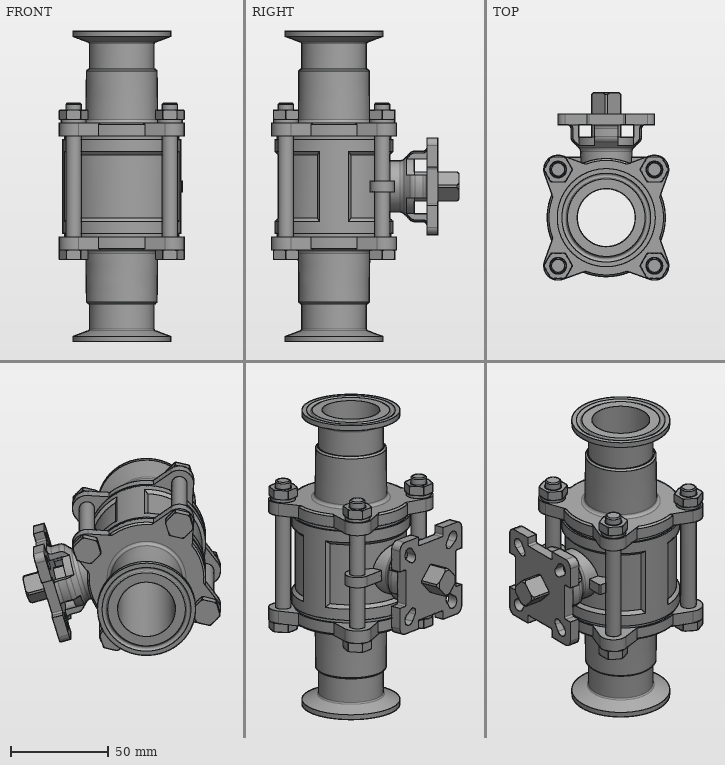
import cadquery as cq
import math


half_length = 80.0
bore_d = 29.8

ferrule_d = 50.5
ferrule_rim = 2.7
ferrule_cone = 3.2
ferrule_fillet = 0.8
tube_d = 33.5
groove_mid_r = 21.8
groove_arc_run = 1.1
groove_depth = 1.1
groove_lip_r = 20.0
groove_lip_drop = 0.8
spigot_end_z = 60.5
spigot_end_r = 18.2
spigot_base_r = 18.5
spigot_chamfer = 1.0
spigot_fillet = 1.8

body_r = 61.0 / 2
body_half = 24.2
seat_r = 29.5
flange_inner_z = 26.0
flange_outer_z = 32.8
flange_chamfer = 1.0
pocket_half = 18.0
pocket_depth = 1.8
rib_half = 7.4
rib_flare = 1.3

bolt_spacing = 49.6
bolt_offset = bolt_spacing / 2
ear_d = 14.9
ear_r = ear_d / 2
ear_draft = 20.0
ear_run = 19.2
bolt_d = 8.0
bolt_top_z = 42.9
bolt_tip_chamfer = 0.6
washer_d = 13.0
washer_t = 1.6
nut_flats = 13.0
nut_h = 5.0
nut_chamfer = 0.4
nut_recess_d = 8.6
nut_recess_depth = 0.5

overall_y = 96.6
stem_end_y = overall_y - bolt_offset - ear_r
stem_square = 11.5
stem_d = 15.0
stem_chamfer = 1.3
bonnet_r = 13.3
bonnet_start_y = 24.0
bonnet_top_y = 35.2
bonnet_fillet = 2.9
disc_top_y = 41.5
disc_r = 30.5 / 2
bracket_r = 18.2
bracket_bend = 3.7
arm_width = 12.0
arm_fillet = 2.0
plate_side = 50.0
plate_t = 5.6
plate_inner_y = 47.8
plate_corner_r = 3.8
notch_half = 10.0
notch_depth = 4.8
notch_fillet = 1.0
slot_outer_r = 25.0
slot_outer_d = 6.5
slot_inner_r = 21.0
slot_inner_d = 5.0

lug_x_min = -21.6
lug_end_r = 6.4
lug_width = 10.0
lug_chamfer = 0.8
lug_height = 5.6


def disc(radius, z_low, z_high, x=0.0, y=0.0):
    """Solid cylinder along Z."""
    return cq.Workplane("XY", origin=(x, y, z_low)).circle(radius).extrude(z_high - z_low)


def make_end():
    """Spigot, tube and ferrule of the +Z end, with the gasket groove in its face."""
    ferrule_r = ferrule_d / 2
    tube_r = tube_d / 2
    rim_z = half_length - ferrule_rim
    cone_foot_z = rim_z - ferrule_cone
    cone_angle = math.atan2(ferrule_cone, ferrule_r - tube_r)
    fillet_run = ferrule_fillet * math.tan(math.pi / 4 - cone_angle / 2)
    fillet_end = (
        tube_r + fillet_run * math.cos(cone_angle),
        cone_foot_z + fillet_run * math.sin(cone_angle),
    )
    profile = (
        cq.Workplane("XZ")
        .moveTo(0, flange_inner_z)
        .lineTo(spigot_base_r + spigot_fillet, flange_inner_z)
        .lineTo(spigot_base_r + spigot_fillet, flange_outer_z)
        .radiusArc((spigot_base_r, flange_outer_z + spigot_fillet), spigot_fillet)
        .lineTo(spigot_end_r, spigot_end_z - spigot_chamfer)
        .lineTo(spigot_end_r - spigot_chamfer, spigot_end_z)
        .lineTo(tube_r, spigot_end_z)
        .lineTo(tube_r, cone_foot_z - fillet_run)
        .radiusArc(fillet_end, ferrule_fillet)
        .lineTo(ferrule_r, rim_z)
        .lineTo(ferrule_r, half_length)
        .lineTo(groove_mid_r + groove_arc_run, half_length)
        .threePointArc(
            (groove_mid_r, half_length - groove_depth),
            (groove_mid_r - groove_arc_run, half_length - groove_lip_drop),
        )
        .lineTo(groove_lip_r, half_length)
        .lineTo(0, half_length)
        .close()
    )
    return profile.revolve(360, (0, 0, 0), (0, 1, 0))


def make_ear(angle):
    """Bolt ear of the +Z flange, blended into the round plate by two tangent sides."""
    draft = math.radians(ear_draft)
    tangent_x = bolt_offset - ear_r * math.sin(draft)
    tangent_y = bolt_offset + ear_r * math.cos(draft)
    root_x = tangent_x - ear_run * math.cos(draft)
    root_y = tangent_y - ear_run * math.sin(draft)
    thickness = flange_outer_z - flange_inner_z
    web = (
        cq.Workplane("XY", origin=(0, 0, flange_inner_z))
        .moveTo(tangent_x, tangent_y)
        .lineTo(root_x, root_y)
        .lineTo(root_y, root_x)
        .lineTo(tangent_y, tangent_x)
        .lineTo(bolt_offset, bolt_offset)
        .close()
        .extrude(thickness)
    )
    lobe = disc(ear_r, flange_inner_z, flange_outer_z, bolt_offset, bolt_offset)
    return web.union(lobe).rotate((0, 0, 0), (0, 0, 1), angle)


def make_flange():
    """Flange of the +Z end: chamfered round plate with four ears."""
    flange = disc(body_r, flange_inner_z, flange_outer_z).faces(">Z").edges().chamfer(flange_chamfer)
    for angle in (0, 90, 180, 270):
        flange = flange.union(make_ear(angle))
    return flange


def make_body():
    """Central body with a shallow pocket all round, interrupted by a rib on each X side."""
    floor_r = body_r - pocket_depth
    floor_half = pocket_half - pocket_depth
    pocket = (
        cq.Workplane("XZ")
        .moveTo(floor_r, -floor_half)
        .lineTo(body_r, -pocket_half)
        .lineTo(body_r + pocket_depth, -pocket_half)
        .lineTo(body_r + pocket_depth, pocket_half)
        .lineTo(body_r, pocket_half)
        .lineTo(floor_r, floor_half)
        .close()
        .revolve(360, (0, 0, 0), (0, 1, 0))
    )
    rib_top_x = math.sqrt(body_r**2 - rib_half**2)
    rib_foot_half = rib_half + rib_flare
    rib_foot_x = math.sqrt(floor_r**2 - rib_foot_half**2)
    ribs = (
        cq.Workplane("XY", origin=(0, 0, -body_half))
        .moveTo(rib_foot_x, rib_foot_half)
        .lineTo(rib_top_x, rib_half)
        .lineTo(body_r + 2 * pocket_depth, rib_half)
        .lineTo(body_r + 2 * pocket_depth, -rib_half)
        .lineTo(rib_top_x, -rib_half)
        .lineTo(rib_foot_x, -rib_foot_half)
        .lineTo(-rib_foot_x, -rib_foot_half)
        .lineTo(-rib_top_x, -rib_half)
        .lineTo(-body_r - 2 * pocket_depth, -rib_half)
        .lineTo(-body_r - 2 * pocket_depth, rib_half)
        .lineTo(-rib_top_x, rib_half)
        .lineTo(-rib_foot_x, rib_foot_half)
        .close()
        .extrude(2 * body_half)
    )
    body = disc(body_r, -body_half, body_half).cut(pocket.cut(ribs))
    body = body.union(disc(seat_r, body_half, flange_inner_z))
    return body.union(disc(seat_r, -flange_inner_z, -body_half))


def make_hex(z_low):
    """Hexagon of the nut size, corners along X, turned round to the ear radius and chamfered."""
    corner_d = nut_flats / math.cos(math.pi / 6)
    prism = cq.Workplane("XY", origin=(0, 0, z_low)).polygon(6, corner_d).extrude(nut_h)
    rounding = disc(ear_r, z_low, z_low + nut_h).edges().chamfer(nut_chamfer)
    return prism.intersect(rounding)


def make_bolt():
    """Tie bolt on the Z axis: head below, washer and nut above."""
    nut_z = flange_outer_z + washer_t
    nut_top_z = nut_z + nut_h
    recess = disc(nut_recess_d / 2, nut_top_z - nut_recess_depth, nut_top_z)
    shank = disc(bolt_d / 2, -flange_outer_z, bolt_top_z).faces(">Z").chamfer(bolt_tip_chamfer)
    return (
        make_hex(nut_z)
        .cut(recess)
        .union(disc(washer_d / 2, flange_outer_z, nut_z))
        .union(shank)
        .union(make_hex(-flange_outer_z - nut_h))
    )


def make_stem():
    """Square stem turned 45 degrees, with flattened corners and a chamfered tip."""
    length = stem_end_y - disc_top_y
    square = (
        cq.Workplane("XZ", origin=(0, stem_end_y, 0))
        .transformed(rotate=(0, 0, 45))
        .rect(stem_square, stem_square)
        .extrude(length)
    )
    corner_limit = cq.Workplane("XZ", origin=(0, stem_end_y, 0)).rect(stem_d, stem_d).extrude(length)
    tip_limit = (
        cq.Workplane("XZ", origin=(0, stem_end_y, 0))
        .circle(stem_d / 2 + stem_chamfer / 4)
        .extrude(length)
        .faces(">Y")
        .chamfer(stem_chamfer)
    )
    return square.intersect(corner_limit).intersect(tip_limit)


def make_bracket():
    """Round bonnet that flares into four arms carrying the mounting plate."""
    cone_top_y = bonnet_top_y + bracket_r - bonnet_r
    bend_run = bracket_bend * math.tan(math.pi / 8)
    bend_leg = bend_run * math.sin(math.pi / 4)
    neck_run = bonnet_fillet * math.tan(math.pi / 8)
    neck_leg = neck_run * math.sin(math.pi / 4)
    outline = (
        cq.Workplane("XY")
        .moveTo(0, bonnet_start_y)
        .lineTo(bonnet_r, bonnet_start_y)
        .lineTo(bonnet_r, bonnet_top_y - neck_run)
        .radiusArc((bonnet_r + neck_leg, bonnet_top_y + neck_leg), bonnet_fillet)
        .lineTo(bracket_r - bend_leg, cone_top_y - bend_leg)
        .radiusArc((bracket_r, cone_top_y + bend_run), -bracket_bend)
        .lineTo(bracket_r, plate_inner_y - arm_fillet)
        .radiusArc((bracket_r + arm_fillet, plate_inner_y), arm_fillet)
        .lineTo(disc_r, plate_inner_y)
        .lineTo(disc_r, disc_top_y)
        .lineTo(0, disc_top_y)
        .close()
        .revolve(360, (0, 0, 0), (0, 1, 0))
    )
    height = plate_inner_y - bonnet_start_y
    base = cq.Workplane("XZ", origin=(0, plate_inner_y, 0))
    keep = base.circle(disc_r).extrude(height)
    keep = keep.union(base.rect(plate_side, arm_width).extrude(height))
    keep = keep.union(base.rect(arm_width, plate_side).extrude(height))
    return outline.intersect(keep)


def make_slot(angle):
    """Tapered slot along a plate diagonal, its sides tangent to both end circles."""
    outer_r = slot_outer_d / 2
    inner_r = slot_inner_d / 2
    lean = math.asin((outer_r - inner_r) / (slot_outer_r - slot_inner_r))
    inner_x = slot_inner_r - inner_r * math.sin(lean)
    inner_z = inner_r * math.cos(lean)
    outer_x = slot_outer_r - outer_r * math.sin(lean)
    outer_z = outer_r * math.cos(lean)
    slot = (
        cq.Workplane("XZ", origin=(0, plate_inner_y + plate_t, 0))
        .moveTo(inner_x, inner_z)
        .lineTo(outer_x, outer_z)
        .threePointArc((slot_outer_r + outer_r, 0), (outer_x, -outer_z))
        .lineTo(inner_x, -inner_z)
        .threePointArc((slot_inner_r - inner_r, 0), (inner_x, inner_z))
        .close()
        .extrude(plate_t)
    )
    return slot.rotate((0, 0, 0), (0, 1, 0), angle)


def make_plate():
    """Square mounting plate with a notch in each side and a slot near each corner."""
    base = cq.Workplane("XZ", origin=(0, plate_inner_y + plate_t, 0))
    plate = base.rect(plate_side, plate_side).extrude(plate_t).edges("|Y").fillet(plate_corner_r)
    notch = (
        base.center(plate_side / 2, 0)
        .rect(2 * notch_depth, 2 * notch_half)
        .extrude(plate_t)
        .edges("|Y")
        .edges("<X")
        .fillet(notch_fillet)
    )
    for side in range(4):
        plate = plate.cut(notch.rotate((0, 0, 0), (0, 1, 0), 90 * side))
        plate = plate.cut(make_slot(45 + 90 * side))
    return plate


def make_lug():
    """Flat stop lug crossing the bonnet, its +X end rounded about a bolt axis."""
    length = bolt_offset - lug_x_min
    bar = cq.Workplane("XY").box(length, lug_width, lug_height)
    bar = bar.faces("<X").edges(">Y").chamfer(lug_chamfer)
    bar = bar.translate((lug_x_min + length / 2, bolt_offset + lug_end_r - lug_width / 2, 0))
    return bar.union(disc(lug_end_r, -lug_height / 2, lug_height / 2, bolt_offset, bolt_offset))


valve_end = make_end().union(make_flange())
valve = make_body().union(valve_end).union(valve_end.mirror("XY"))

bolt = make_bolt()
for x_side in (-1, 1):
    for y_side in (-1, 1):
        valve = valve.union(bolt.translate((x_side * bolt_offset, y_side * bolt_offset, 0)))

for piece in (make_bracket(), make_plate(), make_stem(), make_lug()):
    valve = valve.union(piece)

result = valve.cut(disc(bore_d / 2, -half_length, half_length))